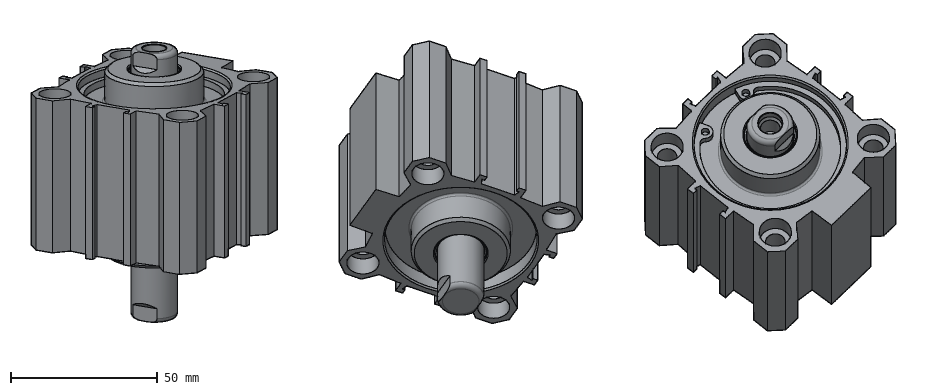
import cadquery as cq
import math

HOUSING_HEIGHT = 54.6
ROD_BOTTOM = -28.5
ROD_LENGTH = 96.5
COLLAR_PROJECTION = 6.0

HALF_WIDTH = 32.5
LUG_CHAMFER = 4.3
LUG_EDGE_END = 21.8
LUG_ROOT = (17.4, 27.8)
WALL_AT_RAIL = 28.4
WALL_BETWEEN_RAILS = 28.7
RAIL_HALF_SPAN = 8.8
RAIL_LIP_HALF_GAP = 6.1
RAIL_NOTCH_HALF_GAP = 7.0
RAIL_ROOT_HALF_GAP = 6.4
RAIL_LIP_INNER = 30.7
PORT_TOP = 37.4
PORT_HALF_TOP = 10.0
PORT_HALF_ROOT = 10.3

BOLT_OFFSET = 25.0
BOLT_DIAMETER = 6.8
COUNTERBORE_DIAMETER = 11.0
COUNTERBORE_DEPTH = 7.0

RECESS_DIAMETER = 52.2
RECESS_CHAMFER = 0.6
RECESS_DEPTH = 14.0

FLANGE_DIAMETER = 51.8
FLANGE_TOP_DEPTH = 5.8
COLLAR_DIAMETER = 34.0
COLLAR_CHAMFER = 1.1
COLLAR_FILLET = 0.8
MOUTH_DIAMETER = 18.0
MOUTH_CHAMFER = 0.4
MOUTH_DEPTH = 0.8
STEP_DIAMETER = 17.7
STEP_DEPTH = 1.2
LIP_DIAMETER = 16.5
LIP_DEPTH = 1.5

RING_THICKNESS = 2.5
RING_INNER_RADIUS = 24.1
EAR_X = 10.3
EAR_Y = -20.65
EAR_RADIUS = 2.6
EAR_HOLE_DIAMETER = 2.7
EAR_BLEND_RADIUS = 1.9

ROD_DIAMETER = 16.0
ROD_FILLET = 1.7
FLAT_HALF_WIDTH = 6.5
FLAT_LENGTH = 5.3
ROD_BORE_DIAMETER = 8.2
ROD_BORE_MOUTH_DIAMETER = 8.6
ROD_BORE_DEPTH = 2.7
ROD_HOLE_DIAMETER = 6.8
ROD_HOLE_DEPTH = 11.6
ROD_CONE_HEIGHT = 1.1
ROD_POINT_HEIGHT = 0.6


def mirror_x(points):
    """The same points on the other side of the YZ plane, in reverse order."""
    return [(-x, y) for x, y in reversed(points)]


def turn(points, quarter_turns):
    """Points turned counterclockwise about Z by whole quarter turns."""
    for _ in range(quarter_turns):
        points = [(-y, x) for x, y in points]
    return points


def lug_outline():
    """Bolt lug in the +X, -Y corner, running counterclockwise."""
    root_x, root_y = LUG_ROOT
    half = [
        (root_x, -root_y),
        (LUG_EDGE_END, -HALF_WIDTH),
        (HALF_WIDTH - LUG_CHAMFER, -HALF_WIDTH),
    ]
    return half + [(-y, -x) for x, y in reversed(half)]


def rail_outline():
    """Pair of hooked rails on the -Y side, running from -X to +X."""
    right = [
        (RAIL_ROOT_HALF_GAP, -WALL_BETWEEN_RAILS),
        (RAIL_NOTCH_HALF_GAP, -RAIL_LIP_INNER),
        (RAIL_LIP_HALF_GAP, -RAIL_LIP_INNER),
        (RAIL_LIP_HALF_GAP, -HALF_WIDTH),
        (RAIL_HALF_SPAN, -HALF_WIDTH),
        (RAIL_HALF_SPAN, -WALL_AT_RAIL),
    ]
    return mirror_x(right) + right


def port_outline():
    """Port block on the +Y side, running from +X to -X."""
    right = [(PORT_HALF_ROOT, WALL_BETWEEN_RAILS), (PORT_HALF_TOP, PORT_TOP)]
    return right + mirror_x(right)


def make_housing():
    outline = []
    for side in range(4):
        side_feature = port_outline() if side == 2 else turn(rail_outline(), side)
        outline += side_feature + turn(lug_outline(), side)
    body = cq.Workplane("XY").polyline(outline).close().extrude(HOUSING_HEIGHT)

    corners = [(x, y) for x in (-BOLT_OFFSET, BOLT_OFFSET) for y in (-BOLT_OFFSET, BOLT_OFFSET)]
    bolt_holes = (
        cq.Workplane("XY").pushPoints(corners).circle(BOLT_DIAMETER / 2).extrude(HOUSING_HEIGHT)
    )
    body = body.cut(bolt_holes)
    for floor in (0, HOUSING_HEIGHT - COUNTERBORE_DEPTH):
        counterbores = (
            cq.Workplane("XY").workplane(offset=floor)
            .pushPoints(corners).circle(COUNTERBORE_DIAMETER / 2).extrude(COUNTERBORE_DEPTH)
        )
        body = body.cut(counterbores)

    upper_recess = make_recess()
    rod_hole = cq.Workplane("XY").circle(ROD_DIAMETER / 2).extrude(HOUSING_HEIGHT)
    return body.cut(upper_recess).cut(to_bottom_end(upper_recess)).cut(rod_hole)


def to_bottom_end(shape):
    """Mirror image of a shape at the other end of the housing."""
    return shape.mirror("XY", (0, 0, HOUSING_HEIGHT / 2))


def make_recess():
    """Round recess with a chamfered mouth in the upper end of the housing."""
    radius = RECESS_DIAMETER / 2
    profile = [
        (0, HOUSING_HEIGHT - RECESS_DEPTH),
        (radius, HOUSING_HEIGHT - RECESS_DEPTH),
        (radius, HOUSING_HEIGHT - RECESS_CHAMFER),
        (radius + RECESS_CHAMFER, HOUSING_HEIGHT),
        (0, HOUSING_HEIGHT),
    ]
    return cq.Workplane("XZ").polyline(profile).close().revolve(360, (0, 0), (0, 1))


def make_cover():
    """Upper cover: a flange in the recess with a collar that guides the rod."""
    flange_face = HOUSING_HEIGHT - FLANGE_TOP_DEPTH
    flange_base = HOUSING_HEIGHT - RECESS_DEPTH
    collar_end = HOUSING_HEIGHT + COLLAR_PROJECTION
    collar_radius = COLLAR_DIAMETER / 2
    rod_radius = ROD_DIAMETER / 2
    lip_radius = LIP_DIAMETER / 2
    step_radius = STEP_DIAMETER / 2
    mouth_radius = MOUTH_DIAMETER / 2
    bend = COLLAR_FILLET * (1 - math.sqrt(0.5))

    section = (
        cq.Workplane("XZ")
        .moveTo(rod_radius, flange_base)
        .lineTo(rod_radius, collar_end - LIP_DEPTH)
        .lineTo(lip_radius, collar_end - LIP_DEPTH)
        .lineTo(lip_radius, collar_end - STEP_DEPTH)
        .lineTo(step_radius, collar_end - STEP_DEPTH)
        .lineTo(step_radius, collar_end - MOUTH_DEPTH)
        .lineTo(mouth_radius, collar_end - MOUTH_DEPTH)
        .lineTo(mouth_radius, collar_end - MOUTH_CHAMFER)
        .lineTo(mouth_radius + MOUTH_CHAMFER, collar_end)
        .lineTo(collar_radius - COLLAR_CHAMFER, collar_end)
        .lineTo(collar_radius, collar_end - COLLAR_CHAMFER)
        .lineTo(collar_radius, flange_face + COLLAR_FILLET)
        .threePointArc(
            (collar_radius + bend, flange_face + bend),
            (collar_radius + COLLAR_FILLET, flange_face),
        )
        .lineTo(FLANGE_DIAMETER / 2, flange_face)
        .lineTo(FLANGE_DIAMETER / 2, flange_base)
        .close()
    )
    return section.revolve(360, (0, 0), (0, 1))


def polar(radius, angle):
    """Point at an angle measured from -Y towards +X."""
    return (radius * math.sin(angle), -radius * math.cos(angle))


def toward(start, end, distance):
    """Point at a distance from start on the line to end."""
    share = distance / math.dist(start, end)
    return (start[0] + share * (end[0] - start[0]), start[1] + share * (end[1] - start[1]))


def make_retaining_ring():
    """Open ring on the flange, with an eared end on each side of the gap."""
    outer = RECESS_DIAMETER / 2
    ear = (EAR_X, EAR_Y)
    ear_reach = math.hypot(EAR_X, EAR_Y)
    ear_angle = math.atan2(EAR_X, -EAR_Y)

    end_angle = ear_angle - math.asin(EAR_RADIUS / ear_reach)
    end_outer = polar(outer, end_angle)
    end_inner = polar(math.sqrt(ear_reach**2 - EAR_RADIUS**2), end_angle)

    blend_reach = RING_INNER_RADIUS - EAR_BLEND_RADIUS
    blend_gap = EAR_RADIUS + EAR_BLEND_RADIUS
    blend_angle = ear_angle + math.acos(
        (ear_reach**2 + blend_reach**2 - blend_gap**2) / (2 * ear_reach * blend_reach)
    )
    blend = polar(blend_reach, blend_angle)
    blend_on_ear = toward(ear, blend, EAR_RADIUS)
    blend_on_ring = polar(RING_INNER_RADIUS, blend_angle)
    chord_middle = toward(blend_on_ear, blend_on_ring, math.dist(blend_on_ear, blend_on_ring) / 2)
    blend_middle = toward(blend, chord_middle, EAR_BLEND_RADIUS)
    ear_tip = toward(ear, (0, 0), EAR_RADIUS)

    def flip(point):
        return (-point[0], point[1])

    ring = (
        cq.Workplane("XY").workplane(offset=HOUSING_HEIGHT - FLANGE_TOP_DEPTH)
        .moveTo(*end_outer)
        .threePointArc((0, outer), flip(end_outer))
        .lineTo(*flip(end_inner))
        .threePointArc(flip(ear_tip), flip(blend_on_ear))
        .threePointArc(flip(blend_middle), flip(blend_on_ring))
        .threePointArc((0, RING_INNER_RADIUS), blend_on_ring)
        .threePointArc(blend_middle, blend_on_ear)
        .threePointArc(ear_tip, end_inner)
        .close()
        .extrude(RING_THICKNESS)
    )
    ear_holes = (
        cq.Workplane("XY").workplane(offset=HOUSING_HEIGHT - FLANGE_TOP_DEPTH)
        .pushPoints([ear, flip(ear)]).circle(EAR_HOLE_DIAMETER / 2).extrude(RING_THICKNESS)
    )
    return ring.cut(ear_holes)


def make_rod():
    rod_top = ROD_BOTTOM + ROD_LENGTH
    rod_middle = ROD_BOTTOM + ROD_LENGTH / 2
    radius = ROD_DIAMETER / 2
    rod = (
        cq.Workplane("XY").workplane(offset=ROD_BOTTOM)
        .circle(radius).extrude(ROD_LENGTH)
        .faces("<Z or >Z").edges().fillet(ROD_FILLET)
    )

    step = radius - FLAT_HALF_WIDTH
    flat_profile = [
        (FLAT_HALF_WIDTH, rod_top),
        (FLAT_HALF_WIDTH, rod_top - FLAT_LENGTH),
        (radius, rod_top - FLAT_LENGTH - step),
        (radius + step, rod_top - FLAT_LENGTH - step),
        (radius + step, rod_top),
    ]
    flat = cq.Workplane("YZ").polyline(flat_profile).close().extrude(radius, both=True)
    for cutter in (flat, flat.mirror("XZ")):
        rod = rod.cut(cutter).cut(cutter.mirror("XY", (0, 0, rod_middle)))

    hole_radius = ROD_HOLE_DIAMETER / 2
    bore_radius = ROD_BORE_DIAMETER / 2
    mouth_radius = ROD_BORE_MOUTH_DIAMETER / 2
    hole_profile = [
        (0, rod_top),
        (mouth_radius, rod_top),
        (bore_radius, rod_top - (mouth_radius - bore_radius)),
        (bore_radius, rod_top - ROD_BORE_DEPTH),
        (hole_radius, rod_top - ROD_BORE_DEPTH - ROD_CONE_HEIGHT),
        (hole_radius, rod_top - ROD_HOLE_DEPTH),
        (0, rod_top - ROD_HOLE_DEPTH - ROD_POINT_HEIGHT),
    ]
    hole = cq.Workplane("XZ").polyline(hole_profile).close().revolve(360, (0, 0), (0, 1))
    return rod.cut(hole)


housing = make_housing()
top_cover = make_cover()
bottom_cover = to_bottom_end(top_cover)
retaining_ring = make_retaining_ring()
rod = make_rod()

result = cq.Compound.makeCompound(
    [housing.val(), top_cover.val(), bottom_cover.val(), retaining_ring.val(), rod.val()]
)